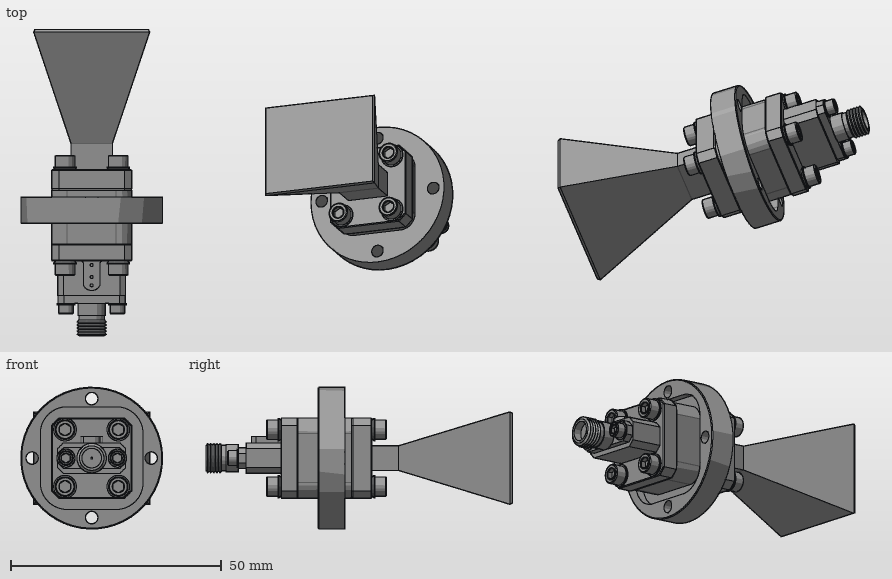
import cadquery as cq


THREAD_END_Y = 3.7
BARREL_FRONT_Y = 4.8
PLATE_FRONT_Y = 7.7
BLOCK_FRONT_Y = 9.5
ADAPTER_FLANGE_FRONT_Y = 17.7
BULKHEAD_FRONT_Y = 21.8
DISC_FRONT_Y = 26.6
DISC_REAR_Y = 32.9
HORN_FLANGE_FRONT_Y = 34.4
HORN_FLANGE_REAR_Y = 39.4
FLARE_START_Y = 45.6
HORN_MOUTH_Y = 72.65

FLANGE_SIDE = 19.0
FLANGE_CORNER = 1.75
EDGE_BREAK = 0.2
HORN_BEVEL_LENGTH = 0.4
HORN_BEVEL_DEPTH = 0.15

WASHER_RIM = 0.2
HEX_TURN = 30

BOLT_X = 6.3
BOLT_Z = 6.75
BOLT_SHANK_RADIUS = 1.4
BOLT_HEAD_RADIUS = 2.3
BOLT_HEAD_LENGTH = 2.75
BOLT_WASHER_RADIUS = 2.7
BOLT_WASHER_THICKNESS = 0.65
BOLT_SOCKET_RADIUS = 1.45
BOLT_SOCKET_DEPTH = 1.45

NECK_WIDTH = 9.9
NECK_HEIGHT = 5.9
MOUTH_WIDTH = 27.5
MOUTH_HEIGHT = 21.95
MOUTH_RIM = 0.65
MOUTH_RIM_INSET = 0.3

DISC_DIAMETER = 33.6
DISC_HOLE_RADIUS = 1.45
DISC_HOLE_PITCH_RADIUS = 14.1
BULKHEAD_CORNER_RADIUS = 3.7
POCKET_SIDE = 24.3
POCKET_CORNER_RADIUS = 6.3
POCKET_DEPTH = 2.2

BLOCK_WIDTH = 16.1
BLOCK_HEIGHT = 7.3
BLOCK_CORNER = 1.4
TAB_WIDTH = 3.85
TAB_LENGTH = 7.0
TAB_END_RISE = 1.15
TAB_ROOT_RADIUS = 0.65
TAB_TOP_Z = 5.15
TAB_PIT_RADIUS = 0.35
TAB_PIT_DEPTH = 0.35
TAB_PIT_OFFSETS = (0.95, 3.8, 5.75)

PLATE_WIDTH = 16.0
PLATE_HEIGHT = 5.0
PLATE_CORNER = 1.4
BARREL_RADIUS = 3.3
NECK_RADIUS = 3.05
THREAD_RADIUS = 3.5
THREAD_ROOT_RADIUS = 3.1
THREAD_TURNS = 5
MOUTH_FACE_RADIUS = 2.9
BORE_RADIUS = 2.3
BORE_DEPTH = 2.0
CONTACT_RADIUS = 0.2
CONTACT_DEPTH = 0.7

SCREW_X = 6.1
SCREW_HEAD_RADIUS = 1.75
SCREW_HEAD_LENGTH = 2.2
SCREW_WASHER_RADIUS = 2.2
SCREW_WASHER_THICKNESS = 0.35
SCREW_SOCKET_RADIUS = 1.15
SCREW_SOCKET_DEPTH = 1.1

BOLT_PLACES = [(x, z) for x in (-BOLT_X, BOLT_X) for z in (-BOLT_Z, BOLT_Z)]


def section(y):
    """Workplane across the axis at the given Y; its local x and y are X and Z, its normal is -Y."""
    return cq.Workplane("XZ", origin=(0, y, 0))


def box_along_y(width, height, front_y, rear_y):
    """Rectangular bar centred on the axis between two Y stations."""
    return section(rear_y).rect(width, height).extrude(rear_y - front_y)


def cylinder_along_y(radius, front_y, rear_y, x=0, z=0):
    """Round bar between two Y stations."""
    return section(rear_y).center(x, z).circle(radius).extrude(rear_y - front_y)


def drill_bolt_holes(body, front_y, rear_y):
    """Cut the four bolt holes between two Y stations."""
    for x, z in BOLT_PLACES:
        body = body.cut(cylinder_along_y(BOLT_SHANK_RADIUS, front_y, rear_y, x, z))
    return body


def socket_head(head_radius, head_length, washer_radius, washer_thickness, socket_radius, socket_depth):
    """Head with a recessed hex socket, on a tapered washer seated on Y = 0 and pointing to -Y."""
    washer = cylinder_along_y(washer_radius, -washer_thickness, 0)
    washer = washer.faces(">Y").chamfer(washer_thickness - WASHER_RIM)
    head_end_y = -washer_thickness - head_length
    head = cylinder_along_y(head_radius, head_end_y, -washer_thickness)
    head = head.faces("<Y").chamfer(EDGE_BREAK)
    recess = cylinder_along_y(socket_radius, head_end_y, head_end_y + EDGE_BREAK)
    socket = (
        section(head_end_y + socket_depth)
        .transformed(rotate=(0, 0, HEX_TURN))
        .polygon(6, 2 * socket_radius)
        .extrude(socket_depth)
    )
    return washer.union(head).cut(recess).cut(socket)


def make_horn():
    """Pyramidal horn with a straight neck and a square flange."""
    flange = box_along_y(FLANGE_SIDE, FLANGE_SIDE, HORN_FLANGE_FRONT_Y, HORN_FLANGE_REAR_Y)
    flange = flange.edges("|Y").chamfer(FLANGE_CORNER)
    flange = flange.faces(">Y").chamfer(EDGE_BREAK)
    flange = flange.faces("<Y").chamfer(HORN_BEVEL_DEPTH, HORN_BEVEL_LENGTH)
    neck = box_along_y(NECK_WIDTH, NECK_HEIGHT, HORN_FLANGE_REAR_Y, FLARE_START_Y)
    flare_length = HORN_MOUTH_Y - MOUTH_RIM - FLARE_START_Y
    flare = (
        section(FLARE_START_Y)
        .rect(NECK_WIDTH, NECK_HEIGHT)
        .workplane(offset=-flare_length)
        .rect(MOUTH_WIDTH, MOUTH_HEIGHT)
        .loft()
    )
    rim = (
        section(HORN_MOUTH_Y - MOUTH_RIM)
        .rect(MOUTH_WIDTH, MOUTH_HEIGHT)
        .workplane(offset=-MOUTH_RIM)
        .rect(MOUTH_WIDTH - 2 * MOUTH_RIM_INSET, MOUTH_HEIGHT - 2 * MOUTH_RIM_INSET)
        .loft()
    )
    horn = flange.union(neck).union(flare).union(rim)
    return drill_bolt_holes(horn, HORN_FLANGE_FRONT_Y, HORN_FLANGE_REAR_Y)


def make_bulkhead():
    """Waveguide section carrying a round mounting disc with a pocket in its front face."""
    disc = cylinder_along_y(DISC_DIAMETER / 2, DISC_FRONT_Y, DISC_REAR_Y)
    disc = disc.faces("<Y").chamfer(EDGE_BREAK)
    pocket = box_along_y(POCKET_SIDE, POCKET_SIDE, DISC_FRONT_Y, DISC_FRONT_Y + POCKET_DEPTH)
    disc = disc.cut(pocket.edges("|Y").fillet(POCKET_CORNER_RADIUS))
    disc_holes = (
        section(DISC_REAR_Y)
        .polarArray(DISC_HOLE_PITCH_RADIUS, 0, 360, 4)
        .circle(DISC_HOLE_RADIUS)
        .extrude(DISC_REAR_Y - DISC_FRONT_Y)
    )
    disc = disc.cut(disc_holes)
    body = box_along_y(FLANGE_SIDE, FLANGE_SIDE, BULKHEAD_FRONT_Y, HORN_FLANGE_FRONT_Y)
    body = body.edges("|Y").fillet(BULKHEAD_CORNER_RADIUS)
    bulkhead = disc.union(body)
    return drill_bolt_holes(bulkhead, BULKHEAD_FRONT_Y, HORN_FLANGE_FRONT_Y)


def make_tab():
    """Raised tab on top of the adapter block, with a rounded end, flared root and a row of round pits."""
    tip_y = ADAPTER_FLANGE_FRONT_Y - TAB_LENGTH
    shoulder_y = tip_y + TAB_END_RISE
    root_y = ADAPTER_FLANGE_FRONT_Y - TAB_ROOT_RADIUS
    side_x = TAB_WIDTH / 2
    root_x = side_x + TAB_ROOT_RADIUS
    tab = (
        cq.Workplane("XY")
        .moveTo(-root_x, ADAPTER_FLANGE_FRONT_Y)
        .radiusArc((-side_x, root_y), TAB_ROOT_RADIUS)
        .lineTo(-side_x, shoulder_y)
        .threePointArc((0, tip_y), (side_x, shoulder_y))
        .lineTo(side_x, root_y)
        .radiusArc((root_x, ADAPTER_FLANGE_FRONT_Y), TAB_ROOT_RADIUS)
        .close()
        .extrude(TAB_TOP_Z)
    )
    pits = (
        cq.Workplane("XY", origin=(0, 0, TAB_TOP_Z - TAB_PIT_DEPTH))
        .pushPoints([(0, ADAPTER_FLANGE_FRONT_Y - offset) for offset in TAB_PIT_OFFSETS])
        .circle(TAB_PIT_RADIUS)
        .extrude(TAB_PIT_DEPTH)
    )
    return tab.cut(pits)


def make_adapter():
    """Coaxial adapter: square flange, bevelled block and tab."""
    flange = box_along_y(FLANGE_SIDE, FLANGE_SIDE, ADAPTER_FLANGE_FRONT_Y, BULKHEAD_FRONT_Y)
    flange = flange.edges("|Y").chamfer(FLANGE_CORNER)
    flange = flange.faces("<Y or >Y").chamfer(EDGE_BREAK)
    block = box_along_y(BLOCK_WIDTH, BLOCK_HEIGHT, BLOCK_FRONT_Y, ADAPTER_FLANGE_FRONT_Y)
    block = block.edges("|Y").chamfer(BLOCK_CORNER)
    adapter = flange.union(block).union(make_tab())
    return drill_bolt_holes(adapter, ADAPTER_FLANGE_FRONT_Y, BULKHEAD_FRONT_Y)


def make_connector():
    """Threaded coaxial connector on a bevelled plate that carries two screw heads."""
    plate = box_along_y(PLATE_WIDTH, PLATE_HEIGHT, PLATE_FRONT_Y, BLOCK_FRONT_Y)
    plate = plate.edges("|Y").chamfer(PLATE_CORNER)

    pitch = THREAD_END_Y / THREAD_TURNS
    outline = [(0, 0), (MOUTH_FACE_RADIUS, 0)]
    for turn in range(THREAD_TURNS):
        outline.append((THREAD_RADIUS, (turn + 0.5) * pitch))
        outline.append((THREAD_ROOT_RADIUS, (turn + 1) * pitch))
    outline += [
        (NECK_RADIUS, THREAD_END_Y),
        (NECK_RADIUS, BARREL_FRONT_Y),
        (BARREL_RADIUS, BARREL_FRONT_Y),
        (BARREL_RADIUS, PLATE_FRONT_Y),
        (0, PLATE_FRONT_Y),
    ]
    barrel = cq.Workplane("XY").polyline(outline).close().revolve(360, (0, 0, 0), (0, 1, 0))
    bore = cylinder_along_y(BORE_RADIUS, 0, BORE_DEPTH)
    contact_hole = cylinder_along_y(CONTACT_RADIUS, BORE_DEPTH, BORE_DEPTH + CONTACT_DEPTH)
    connector = plate.union(barrel).cut(bore).cut(contact_hole)

    head = socket_head(
        SCREW_HEAD_RADIUS,
        SCREW_HEAD_LENGTH,
        SCREW_WASHER_RADIUS,
        SCREW_WASHER_THICKNESS,
        SCREW_SOCKET_RADIUS,
        SCREW_SOCKET_DEPTH,
    )
    for x in (-SCREW_X, SCREW_X):
        connector = connector.union(head.translate((x, PLATE_FRONT_Y, 0)))
    return connector


def make_bolt(x, z):
    """Clamping bolt through the whole stack, with a socket head at each end."""
    head = socket_head(
        BOLT_HEAD_RADIUS,
        BOLT_HEAD_LENGTH,
        BOLT_WASHER_RADIUS,
        BOLT_WASHER_THICKNESS,
        BOLT_SOCKET_RADIUS,
        BOLT_SOCKET_DEPTH,
    )
    front_head = head.translate((0, ADAPTER_FLANGE_FRONT_Y, 0))
    rear_head = head.mirror("XZ").translate((0, HORN_FLANGE_REAR_Y, 0))
    shank = cylinder_along_y(BOLT_SHANK_RADIUS, ADAPTER_FLANGE_FRONT_Y, HORN_FLANGE_REAR_Y)
    return shank.union(front_head).union(rear_head).translate((x, 0, z))


horn = make_horn()
bulkhead = make_bulkhead()
adapter = make_adapter()
connector = make_connector()
bolts = [make_bolt(x, z) for x, z in BOLT_PLACES]

result = cq.Compound.makeCompound(
    [horn.val(), bulkhead.val(), adapter.val(), connector.val(), *[bolt.val() for bolt in bolts]]
)